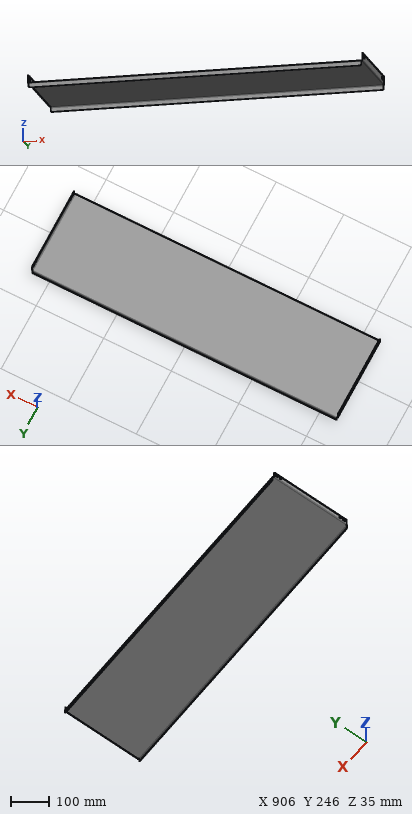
import cadquery as cq

length = 906.0
width = 246.0
height = 35.0
sheet = 1.0
bend_radius = 2.0
inner_radius = bend_radius - sheet

side_flange_depth = 14.5
side_end_gap = 3.0
side_corner = 3.0
end_inset = 3.0
end_corner = 4.0

hole_diameter = 5.0
slot_length = 8.0
hole_drop = 8.0
hole_y = 99.0
slot_y = 111.0

plate_top = side_flange_depth
plate_bottom = plate_top - sheet
end_width = width - 2 * end_inset
hole_z = height - hole_drop


def bent_channel(plane, span, base, tip, bend_edges, run):
    """U-shaped sheet: a flat web with its outer face at base and legs reaching tip."""
    outer = (
        cq.Workplane(plane)
        .rect(span, 2 * abs(tip - base))
        .extrude(run / 2, both=True)
        .edges(bend_edges)
        .fillet(bend_radius)
    )
    inner = (
        cq.Workplane(plane)
        .rect(span - 2 * sheet, 2 * (abs(tip - base) - sheet))
        .extrude(run / 2, both=True)
        .edges(bend_edges)
        .fillet(inner_radius)
    )
    tip_side = (
        cq.Workplane("XY")
        .box(length, width, abs(tip - base))
        .translate((0, 0, (base - tip) / 2))
    )
    return outer.cut(inner).intersect(tip_side).translate((0, 0, tip))


tray = (
    bent_channel("YZ", width, plate_top, 0, "|X and >Z", length - 2 * side_end_gap)
    .faces("<Z")
    .edges("|Y")
    .chamfer(side_corner)
)

end_strips = cq.Workplane("XY").box(length, end_width, 2 * plate_top)
end_strips = end_strips.cut(
    cq.Workplane("XY").box(length - 2 * bend_radius, end_width, 2 * plate_top)
)
tray = tray.cut(end_strips)

end_flanges = (
    bent_channel("XZ", length, plate_bottom, height, "|Y and <Z", end_width)
    .faces(">Z")
    .edges("|X")
    .fillet(end_corner)
)
result = tray.union(end_flanges)

for side in (-1, 1):
    holes = (
        cq.Workplane("YZ")
        .center(side * hole_y, hole_z)
        .circle(hole_diameter / 2)
        .extrude(length, both=True)
    )
    slots = (
        cq.Workplane("YZ")
        .center(side * slot_y, hole_z)
        .slot2D(slot_length, hole_diameter)
        .extrude(length, both=True)
    )
    result = result.cut(holes).cut(slots)